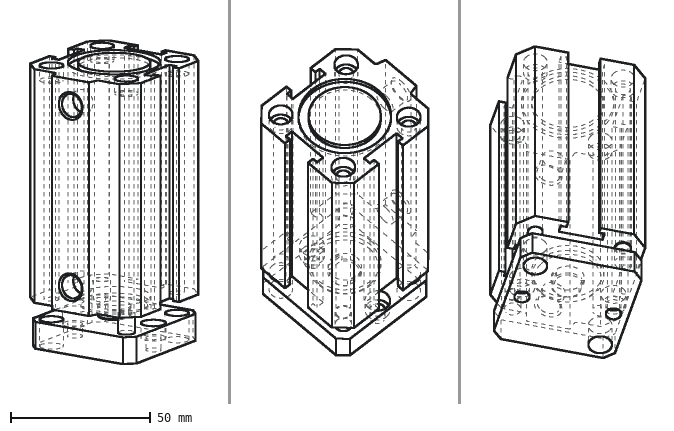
import cadquery as cq

plate_thickness = 10.0
plate_gap = 7.5
housing_length = 87.0
housing_bottom = plate_thickness + plate_gap
housing_top = housing_bottom + housing_length

housing_size = 48.0
housing_chamfer = 5.6
port_rail_height = 4.0
port_rail_tip_width = 16.1
port_rail_root_width = 18.1
port_rail_root_radius = 1.0

slot_mouth_width = 12.0
slot_inner_width = 16.2
slot_mouth_depth = 2.5
slot_depth = 5.5

corner_spacing = 32.5
bolt_hole_diameter = 5.3
bolt_head_diameter = 8.5
bolt_head_depth = 5.5

groove_outer_diameter = 33.3
groove_inner_diameter = 26.0
groove_depth = 1.8

collar_diameter = 26.0
collar_height = 3.5
collar_chamfer = 1

port_diameter = 8.57
port_mouth_diameter = 10.2
port_mouth_depth = (port_mouth_diameter - port_diameter) / 2
port_depth = 8.0
port_heights = (housing_bottom + 9.5, housing_top - 10.0)

plate_size = 45.0
plate_chamfer = 3.5
plate_bolt_spacing = 34
plate_bolt_diameter = 5.5
plate_bolt_head_diameter = 9.0
plate_bolt_head_depth = 5.5

guide_rod_diameter = 6.0
piston_rod_diameter = 12.0
piston_rod_length = plate_gap - collar_height
piston_rod_chamfer = 0.5
wrench_flat_width = 10.0
wrench_flat_length = piston_rod_length - 1.0

corner = corner_spacing / 2
rod_corners = [(-corner, corner), (corner, -corner)]
open_corners = [(-corner, -corner), (corner, corner)]


def chamfered_square(size, chamfer, height, base):
    """Square prism with chamfered vertical edges, standing on Z = base."""
    prism = cq.Workplane("XY").workplane(offset=base).rect(size, size).extrude(height)
    return prism.edges("|Z").chamfer(chamfer)


def make_port_rail():
    """Tapered rail along the -Y face with rounded roots."""
    face = -housing_size / 2
    root = port_rail_root_width / 2
    tip = port_rail_tip_width / 2
    strip = root + 2 * port_rail_root_radius
    strip_back = face + slot_mouth_depth
    outline = [
        (-strip, strip_back),
        (-strip, face),
        (-root, face),
        (-tip, face - port_rail_height),
        (tip, face - port_rail_height),
        (root, face),
        (strip, face),
        (strip, strip_back),
    ]
    rail = cq.Workplane("XY").workplane(offset=housing_bottom).polyline(outline).close()
    rail = rail.extrude(housing_length)
    for x in (-root, root):
        root_edge = cq.selectors.NearestToPointSelector((x, face, housing_bottom + housing_length / 2))
        rail = rail.edges("|Z").edges(root_edge).fillet(port_rail_root_radius)
    return rail


def make_t_slot(angle):
    """T-slot cutter for the +Y face, turned about Z by the angle."""
    face = housing_size / 2
    mouth = slot_mouth_width / 2
    inner = slot_inner_width / 2
    outline = [
        (-mouth, face),
        (-mouth, face - slot_mouth_depth),
        (-inner, face - slot_mouth_depth),
        (-inner, face - slot_depth),
        (inner, face - slot_depth),
        (inner, face - slot_mouth_depth),
        (mouth, face - slot_mouth_depth),
        (mouth, face),
    ]
    slot = cq.Workplane("XY").workplane(offset=housing_bottom).polyline(outline).close()
    return slot.extrude(housing_length).rotate((0, 0, 0), (0, 0, 1), angle)


def make_port(height):
    """Cutter for a blind port with a countersunk mouth in the rail face."""
    rail_face = -housing_size / 2 - port_rail_height
    profile = [
        (0, 0),
        (port_mouth_diameter / 2, 0),
        (port_diameter / 2, port_mouth_depth),
        (port_diameter / 2, port_depth),
        (0, port_depth),
    ]
    port = cq.Workplane("XY").polyline(profile).close().revolve(360, (0, 0, 0), (0, 1, 0))
    return port.translate((0, rail_face, height))


def make_housing():
    """Cylinder housing with its rail, slots, holes, groove, ports and rod collar."""
    housing = chamfered_square(housing_size, housing_chamfer, housing_length, housing_bottom)
    housing = housing.union(make_port_rail())

    for angle in (90, 0, -90):
        housing = housing.cut(make_t_slot(angle))

    top_plane = cq.Workplane("XY").workplane(offset=housing_top)
    bolt_holes = top_plane.pushPoints(rod_corners + open_corners)
    housing = housing.cut(bolt_holes.circle(bolt_hole_diameter / 2).extrude(-housing_length))
    housing = housing.cut(bolt_holes.circle(bolt_head_diameter / 2).extrude(-bolt_head_depth))

    groove = top_plane.circle(groove_outer_diameter / 2).circle(groove_inner_diameter / 2)
    housing = housing.cut(groove.extrude(-groove_depth))

    for height in port_heights:
        housing = housing.cut(make_port(height))

    collar = cq.Workplane("XY").workplane(offset=housing_bottom).circle(collar_diameter / 2)
    collar = collar.extrude(-collar_height).faces("<Z").chamfer(collar_chamfer)
    return housing.union(collar)


def make_piston_rod():
    """Rod end between plate and collar, with two wrench flats facing along X."""
    rod = cq.Workplane("XY").workplane(offset=plate_thickness).circle(piston_rod_diameter / 2)
    rod = rod.extrude(piston_rod_length).faces("<Z").chamfer(piston_rod_chamfer)
    flat_depth = (piston_rod_diameter - wrench_flat_width) / 2
    flat_center = (wrench_flat_width + flat_depth) / 2
    flats = cq.Workplane("XY").workplane(offset=plate_thickness)
    flats = flats.pushPoints([(-flat_center, 0), (flat_center, 0)])
    return rod.cut(flats.rect(flat_depth, piston_rod_diameter).extrude(wrench_flat_length))


def make_rod_assembly():
    """End plate carrying the piston rod and the two guide rods, as one moving body."""
    plate = chamfered_square(plate_size, plate_chamfer, plate_thickness, 0)
    plate_top = cq.Workplane("XY").workplane(offset=plate_thickness)

    access_holes = plate_top.pushPoints(open_corners).circle(bolt_head_diameter / 2)
    plate = plate.cut(access_holes.extrude(-plate_thickness))

    plate_bolt = plate_bolt_spacing / 2
    plate_bolts = plate_top.pushPoints([(-plate_bolt, 0), (plate_bolt, 0)])
    plate = plate.cut(plate_bolts.circle(plate_bolt_diameter / 2).extrude(-plate_thickness))
    plate = plate.cut(plate_bolts.circle(plate_bolt_head_diameter / 2).extrude(-plate_bolt_head_depth))

    guide_rods = plate_top.pushPoints(rod_corners).circle(guide_rod_diameter / 2).extrude(plate_gap)
    return plate.union(make_piston_rod()).union(guide_rods)


housing = make_housing()
rod_assembly = make_rod_assembly()

result = cq.Compound.makeCompound([housing.val(), rod_assembly.val()])